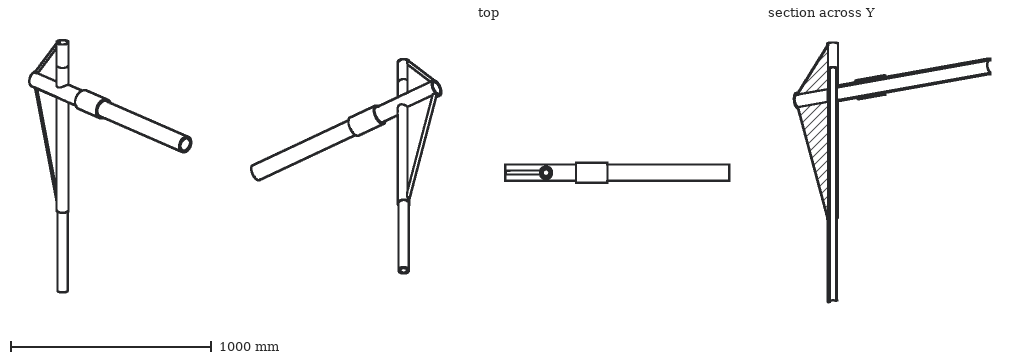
import cadquery as cq
import math

arm_length = 1117.0
arm_diameter = 82.0
arm_bore = 63.0
arm_height = 1082.0

socket_x = 203.0
socket_diameter = 60.0
socket_bore = 53.0
socket_bottom = 433.0
socket_top = 1346.0

pipe_diameter = socket_bore
pipe_bore = 34.0
pipe_top = 1218.0

sleeve_diameter = 101.0
sleeve_bore = 83.0
sleeve_start = 353.0
sleeve_length = 156.0

rod_diameter = 20.0
web_thickness = 12.0
rod_setback = 1.0

arm_radius = arm_diameter / 2
socket_left = socket_x - socket_diameter / 2


def cylinder_x(diameter, start, length):
    """Cylinder on the arm axis."""
    return (
        cq.Workplane("YZ", origin=(start, 0, arm_height))
        .circle(diameter / 2)
        .extrude(length)
    )


def cylinder_z(diameter, bottom, top):
    """Cylinder on the socket axis."""
    return (
        cq.Workplane("XY", origin=(socket_x, 0, bottom))
        .circle(diameter / 2)
        .extrude(top - bottom)
    )


def make_gusset(socket_end, side):
    """Web and rod between arm and socket; side is 1 above the arm, -1 below it."""
    arm_edge = arm_height + side * arm_radius
    run = socket_left
    rise = socket_end - arm_edge
    slope_length = math.hypot(run, rise)

    rod_inset = rod_diameter / 2 + rod_setback
    inward_x = abs(rise) / slope_length * rod_inset
    inward_z = -side * run / slope_length * rod_inset

    arm_reach = arm_radius / abs(rise)
    socket_reach = socket_diameter / 2 / run

    def along_rod(fraction):
        return (inward_x + fraction * run, arm_edge + inward_z + fraction * rise)

    rod_start = along_rod(-arm_reach)
    rod_end = along_rod(1 + socket_reach)
    direction = cq.Vector(run, 0, rise)
    rod_plane = cq.Plane(
        origin=(rod_start[0], 0, rod_start[1]), xDir=(0, 1, 0), normal=direction
    )
    rod_length = math.dist(rod_start, rod_end)
    rod = cq.Workplane(rod_plane).circle(rod_diameter / 2).extrude(rod_length)

    web = (
        cq.Workplane("XZ")
        .polyline([rod_start, rod_end, (socket_x, arm_height)])
        .close()
        .extrude(web_thickness / 2, both=True)
    )

    depth = abs(socket_end - arm_height)
    limits = cq.Workplane("XY").box(socket_x, rod_diameter, depth).translate(
        (socket_x / 2, 0, (socket_end + arm_height) / 2)
    )
    return rod.union(web).intersect(limits)


def make_frame():
    """Arm, socket and gussets welded into one body."""
    bores = cylinder_x(arm_bore, 0, arm_length).union(
        cylinder_z(socket_bore, socket_bottom, socket_top)
    )
    tubes = cylinder_x(arm_diameter, 0, arm_length).union(
        cylinder_z(socket_diameter, socket_bottom, socket_top)
    )
    upper_gusset = make_gusset(socket_top, 1).cut(bores)
    lower_gusset = make_gusset(socket_bottom, -1).cut(bores)
    return tubes.cut(bores).union(upper_gusset).union(lower_gusset)


def make_pipe():
    return cylinder_z(pipe_diameter, 0, pipe_top).cut(cylinder_z(pipe_bore, 0, pipe_top))


def make_sleeve():
    outside = cylinder_x(sleeve_diameter, sleeve_start, sleeve_length)
    return outside.cut(cylinder_x(sleeve_bore, sleeve_start, sleeve_length))


frame = make_frame()
pipe = make_pipe()
sleeve = make_sleeve()

result = cq.Compound.makeCompound([frame.solids().val(), pipe.val(), sleeve.val()])